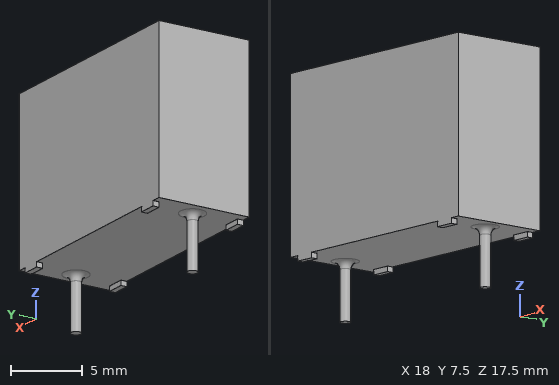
import cadquery as cq

case_length = 18.0
case_width = 7.5
total_height = 17.5
lead_length = 4.35
case_height = total_height - lead_length

lead_diameter = 0.8
lead_pitch = 15.0
flare_radius = 0.6

foot_length = 1.5
foot_width = 0.5
foot_height = 0.4


def make_case():
    """Plain block with its underside at Z = 0."""
    return cq.Workplane("XY").box(case_length, case_width, case_height, centered=(True, True, False))


def make_lead(x):
    """Lead with a concave quarter-round flare that meets the case tangentially."""
    lead_radius = lead_diameter / 2
    flare_top_radius = lead_radius + flare_radius
    profile = (
        cq.Workplane("XZ")
        .moveTo(0, 0)
        .lineTo(flare_top_radius, 0)
        .radiusArc((lead_radius, -flare_radius), -flare_radius)
        .lineTo(lead_radius, -lead_length)
        .lineTo(0, -lead_length)
        .close()
    )
    return profile.revolve(360, (0, 0, 0), (0, 1, 0)).translate((x, 0, 0))


def make_foot(x, y):
    """Small rectangular pad hanging below the case."""
    pad = cq.Workplane("XY").box(foot_length, foot_width, foot_height)
    return pad.translate((x, y, -foot_height / 2))


result = make_case()
foot_offset = (case_width - foot_width) / 2
for lead_x in (-lead_pitch / 2, lead_pitch / 2):
    result = result.union(make_lead(lead_x))
    for foot_y in (-foot_offset, foot_offset):
        result = result.union(make_foot(lead_x, foot_y))